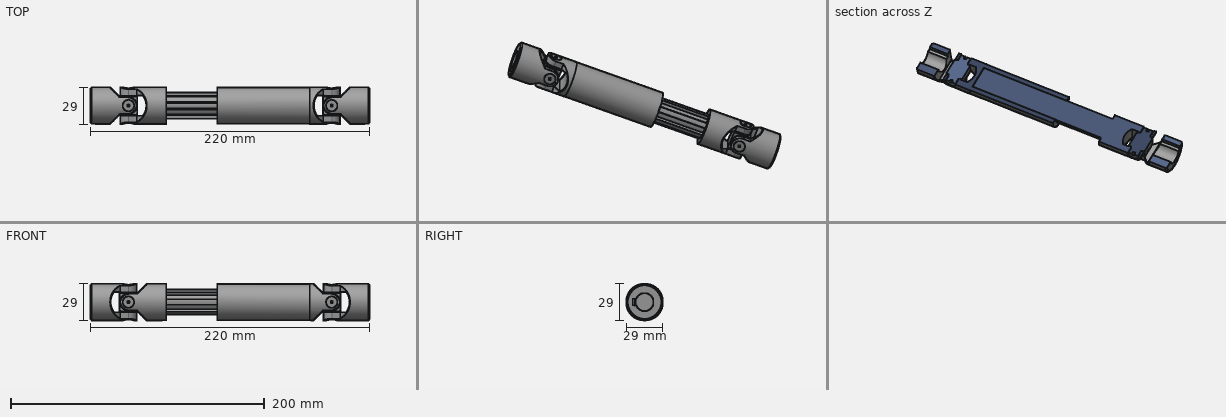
import cadquery as cq
import math

TOTAL_LENGTH = 220.0
YOKE_DIA = 29.0
YOKE_LENGTH = 30.0

ARM_HALF_WIDTH = 6.5
ARM_INNER_FACE = 8.0
GAP_DIA = 28.0

BORE_DIA = 14.0
KEYWAY_WIDTH = 5.0
KEYWAY_DEPTH = 9.5
CHAMFER_AXIAL = 1.0
CHAMFER_RADIAL = 1.3

BLOCK_SIDE = 14.0
COLLAR_DIA = 12.5
TRUNNION_DIA = 9.0
CENTRE_HOLE_DIA = 1.8
CENTRE_HOLE_DEPTH = 2.2

TUBE_DIA = 28.8
TUBE_START_X = 99.9
TUBE_END_X = 173.0
TOOTH_COUNT = 6
SPLINE_MAJOR_DIA = 21.0
SPLINE_MINOR_DIA = 16.0
TOOTH_WIDTH = 4.5

YOKE_RADIUS = YOKE_DIA / 2
LEFT_JOINT_X = YOKE_LENGTH
RIGHT_JOINT_X = TOTAL_LENGTH - YOKE_LENGTH
TRUNNION_REACH = math.sqrt(YOKE_RADIUS**2 - (TRUNNION_DIA / 2) ** 2)


def x_cylinder(diameter, start_x, end_x):
    """Solid cylinder about the X axis."""
    return cq.Workplane("YZ", origin=(start_x, 0, 0)).circle(diameter / 2).extrude(end_x - start_x)


def fork(length):
    """Yoke with its joint centre at the origin, hub towards -X and arms on the +Z and -Z sides."""
    outline = (
        cq.Workplane("XY", origin=(0, 0, -YOKE_RADIUS))
        .moveTo(-length, -YOKE_RADIUS)
        .lineTo(-YOKE_RADIUS, -YOKE_RADIUS)
        .lineTo(-ARM_HALF_WIDTH, -ARM_HALF_WIDTH)
        .lineTo(0, -ARM_HALF_WIDTH)
        .threePointArc((ARM_HALF_WIDTH, 0), (0, ARM_HALF_WIDTH))
        .lineTo(-ARM_HALF_WIDTH, ARM_HALF_WIDTH)
        .lineTo(-YOKE_RADIUS, YOKE_RADIUS)
        .lineTo(-length, YOKE_RADIUS)
        .close()
        .extrude(YOKE_DIA)
    )
    body = x_cylinder(YOKE_DIA, -length, ARM_HALF_WIDTH).intersect(outline)

    gap_round = cq.Workplane("XZ").circle(GAP_DIA / 2).extrude(YOKE_RADIUS, both=True)
    gap_limits = cq.Workplane("XY").box(GAP_DIA, YOKE_DIA, 2 * ARM_INNER_FACE)
    pin_hole = cq.Workplane("XY").circle(TRUNNION_DIA / 2).extrude(YOKE_RADIUS, both=True)
    return body.cut(gap_round.intersect(gap_limits)).cut(pin_hole)


def end_yoke():
    """Fork with a chamfered hub, a through bore and a keyway on the -Y side."""
    rim = (
        cq.Workplane("XY")
        .moveTo(-YOKE_LENGTH, YOKE_RADIUS - CHAMFER_RADIAL)
        .lineTo(-YOKE_LENGTH, YOKE_RADIUS)
        .lineTo(-YOKE_LENGTH + CHAMFER_AXIAL, YOKE_RADIUS)
        .close()
        .revolve(360, (0, 0, 0), (1, 0, 0))
    )
    bore = x_cylinder(BORE_DIA, -YOKE_LENGTH, 0)
    keyway_centre = (-YOKE_LENGTH / 2, -KEYWAY_DEPTH / 2, 0)
    keyway = cq.Workplane("XY", origin=keyway_centre).box(YOKE_LENGTH, KEYWAY_DEPTH, KEYWAY_WIDTH)
    return fork(YOKE_LENGTH).cut(rim).cut(bore).cut(keyway)


def cross():
    """Cubic block at the origin with four collared trunnions along Y and Z."""
    body = cq.Workplane("XY").box(BLOCK_SIDE, BLOCK_SIDE, BLOCK_SIDE)
    for plane in ("XY", "XZ"):
        collars = cq.Workplane(plane).circle(COLLAR_DIA / 2).extrude(ARM_INNER_FACE, both=True)
        trunnions = cq.Workplane(plane).circle(TRUNNION_DIA / 2).extrude(TRUNNION_REACH, both=True)
        body = body.union(collars).union(trunnions)
        for side in (1, -1):
            centre_hole = (
                cq.Workplane(plane)
                .workplane(offset=side * TRUNNION_REACH)
                .circle(CENTRE_HOLE_DIA / 2)
                .extrude(-side * CENTRE_HOLE_DEPTH)
            )
            body = body.cut(centre_hole)
    return body


def spline(start_x, end_x):
    """Straight-sided spline along the X axis with two of its teeth on the Y axis."""
    length = end_x - start_x
    teeth = (
        cq.Workplane("YZ", origin=(start_x, 0, 0))
        .rect(SPLINE_MAJOR_DIA, TOOTH_WIDTH)
        .extrude(length)
    )
    body = x_cylinder(SPLINE_MINOR_DIA, start_x, end_x)
    for index in range(TOOTH_COUNT // 2):
        angle = index * 360 / TOOTH_COUNT
        body = body.union(teeth.rotate((0, 0, 0), (1, 0, 0), angle))
    return body.intersect(x_cylinder(SPLINE_MAJOR_DIA, start_x, end_x))


def middle_fork(length):
    """Fork with its hub towards -X and its arms on the +Y and -Y sides."""
    return fork(length).rotate((0, 0, 0), (1, 0, 0), 90)


def spline_shaft():
    """Fork of the left joint with the spline that fills the tube."""
    hub_end_x = LEFT_JOINT_X + YOKE_LENGTH
    shaft_fork = (
        middle_fork(YOKE_LENGTH)
        .rotate((0, 0, 0), (0, 0, 1), 180)
        .translate((LEFT_JOINT_X, 0, 0))
    )
    return shaft_fork.union(spline(hub_end_x, TUBE_END_X))


def sleeve():
    """Splined tube with the fork of the right joint."""
    tube_fork = middle_fork(RIGHT_JOINT_X - TUBE_END_X).translate((RIGHT_JOINT_X, 0, 0))
    tube = x_cylinder(TUBE_DIA, TUBE_START_X, TUBE_END_X)
    return tube.union(tube_fork).cut(spline(TUBE_START_X, TUBE_END_X))


end_yokes = [
    end_yoke().rotate((0, 0, 0), (0, 1, 0), turn).translate((joint_x, 0, 0)).val()
    for joint_x, turn in ((LEFT_JOINT_X, 0), (RIGHT_JOINT_X, 180))
]
crosses = [cross().translate((joint_x, 0, 0)).val() for joint_x in (LEFT_JOINT_X, RIGHT_JOINT_X)]

result = cq.Compound.makeCompound([*end_yokes, *crosses, spline_shaft().val(), sleeve().val()])